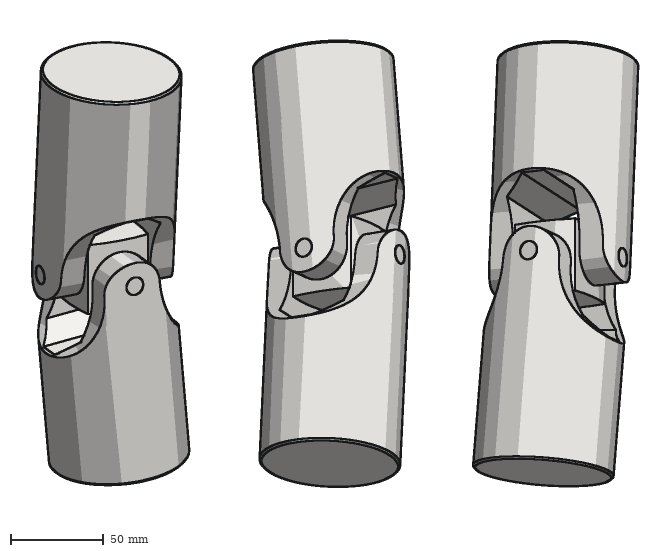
import cadquery as cq
import math

tilt = 5.0

barrel_radius = 38.2
barrel_end = 115.0
end_chamfer = 1.2
tip_radius = 17.0
tip_center_height = 3.5
shoulder_height = 43.1
slot_floor_height = 42.0
slot_wall_height = 32.5
slot_floor_width = 13.5

block_size = 40.0
block_corner_width = 36.3
pin_diameter = 10.1
pin_inner_end = 9.5
pin_length = barrel_radius - pin_inner_end

flank_rise = shoulder_height - tip_center_height
flank_run = barrel_radius - tip_radius
flank_radius = (flank_rise**2 + flank_run**2) / (2 * flank_run)
flank_mid_angle = math.asin(flank_rise / flank_radius) / 2
flank_mid_y = tip_radius + flank_radius * (1 - math.cos(flank_mid_angle))
flank_mid_z = tip_center_height + flank_radius * math.sin(flank_mid_angle)


def make_pins_along_x():
    """Two opposite pins on the X axis, from inside the block out to the barrel surface."""
    pin = cq.Workplane("YZ", origin=(pin_inner_end, 0, 0)).circle(pin_diameter / 2).extrude(pin_length)
    return [pin.rotate((0, 0, 0), (0, 0, 1), turn) for turn in (0, 180)]


def make_fork_profile():
    """Side outline of the whole yoke, seen along its pins."""
    return (
        cq.Workplane("YZ")
        .moveTo(-tip_radius, tip_center_height)
        .threePointArc((0, tip_center_height - tip_radius), (tip_radius, tip_center_height))
        .threePointArc((flank_mid_y, flank_mid_z), (barrel_radius, shoulder_height))
        .lineTo(barrel_radius, barrel_end)
        .lineTo(-barrel_radius, barrel_end)
        .lineTo(-barrel_radius, shoulder_height)
        .threePointArc((-flank_mid_y, flank_mid_z), (-tip_radius, tip_center_height))
        .close()
        .extrude(barrel_radius, both=True)
    )


def make_slot():
    """Slot between the arms, narrowing to its floor through two sloping faces."""
    wall = block_size / 2
    floor = slot_floor_width / 2
    slot_bottom = -barrel_radius
    return (
        cq.Workplane("XZ")
        .polyline([
            (-wall, slot_bottom),
            (wall, slot_bottom),
            (wall, slot_wall_height),
            (floor, slot_floor_height),
            (-floor, slot_floor_height),
            (-wall, slot_wall_height),
        ])
        .close()
        .extrude(barrel_radius, both=True)
    )


def make_yoke():
    """Round bar shaped into a fork, with a hole for a pin in each arm."""
    bar_start = tip_center_height - tip_radius
    bar = (
        cq.Workplane("XY", origin=(0, 0, bar_start))
        .circle(barrel_radius)
        .extrude(barrel_end - bar_start)
        .faces(">Z")
        .chamfer(end_chamfer)
    )
    pin_hole = cq.Workplane("YZ").circle(pin_diameter / 2).extrude(barrel_radius, both=True)
    return bar.intersect(make_fork_profile()).cut(make_slot()).cut(pin_hole)


def make_block(pins):
    """Square block whose four sides bulge out to touch the arms, with a blind hole for each pin."""
    corner = block_corner_width / 2
    bulge = block_size / 2
    block = (
        cq.Workplane("XY", origin=(0, 0, -block_size / 2))
        .moveTo(-corner, -corner)
        .threePointArc((0, -bulge), (corner, -corner))
        .threePointArc((bulge, 0), (corner, corner))
        .threePointArc((0, bulge), (-corner, corner))
        .threePointArc((-bulge, 0), (-corner, -corner))
        .close()
        .extrude(block_size)
    )
    for pin in pins:
        block = block.cut(pin)
    return block


lower_yoke = make_yoke().rotate((0, 0, 0), (1, 0, 0), 180 + tilt)
upper_yoke = make_yoke().rotate((0, 0, 0), (0, 0, 1), 90).rotate((0, 0, 0), (0, 1, 0), tilt)

lower_pins = make_pins_along_x()
upper_pins = [pin.rotate((0, 0, 0), (0, 0, 1), 90) for pin in make_pins_along_x()]
pins = lower_pins + upper_pins

block = make_block(pins)

result = cq.Compound.makeCompound(
    [lower_yoke.val(), upper_yoke.val(), block.val(), *[pin.val() for pin in pins]]
)